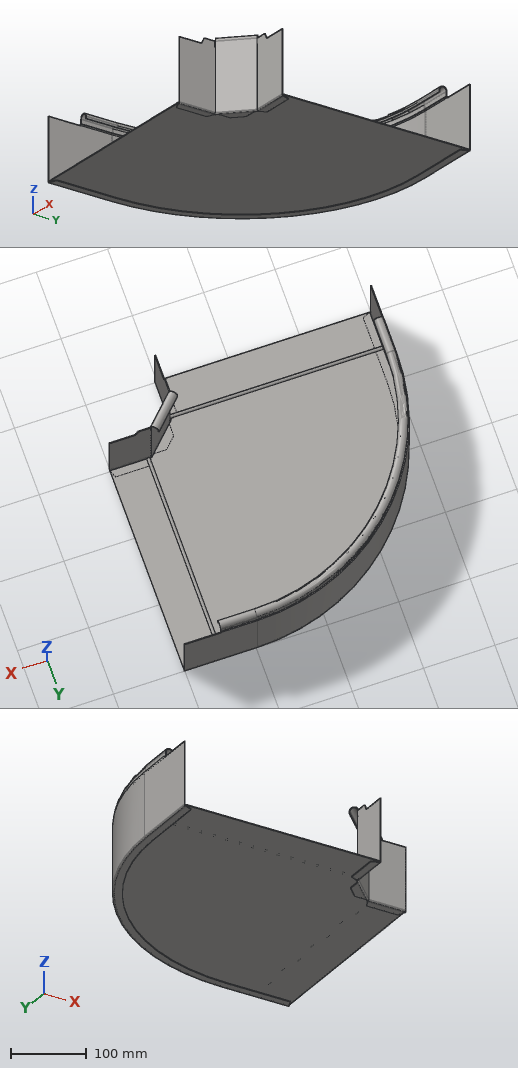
import cadquery as cq
import math


overall_side = 401.5
overall_height = 113.0
arm_length = 102.5
bend_radius = overall_side - arm_length
tray_width = 304.0
inner_arm_length = 57.8

sheet = 1.5
fold_inside_radius = 1.0
fold_radius = fold_inside_radius + sheet
wall_height = 98.0
flange_width = 13.2
diagonal_flange_width = 15.3
flange_end_gap = 4.5

roll_radius = 6.5
roll_centre_height = overall_height - roll_radius
roll_lip = 3.2
roll_end_gap = 51.5
jog_depth = 1.5
jog_height = 2.0

tab_top_gap = 40.5
tab_foot_gap = 36.0

bead_width = 5.0
bead_height = 1.5
bead_edge_step = 1.2

inner_face = tray_width - bend_radius
corner_offset = arm_length - inner_arm_length
diagonal_length = (corner_offset - inner_face) * math.sqrt(2)
half_corner_turn = math.radians(45) / 2
corner_fill = sheet * math.tan(half_corner_turn)

half_turn = math.sqrt(0.5)

roll_length = arm_length - roll_end_gap


def mirrored(body):
    """Reflect a body in the symmetry plane y = -x."""
    return body.mirror((1, 1, 0))


def with_mirrored(body):
    return body.union(mirrored(body))


outer_frame = cq.Plane(origin=(-bend_radius, 0, 0), xDir=(1, 0, 0), normal=(0, -1, 0))
inner_frame = cq.Plane(origin=(inner_face, -corner_offset, 0), xDir=(-1, 0, 0), normal=(0, 1, 0))
diagonal_middle = (inner_face + corner_offset) / 2
diagonal_frame = cq.Plane(
    origin=(diagonal_middle, -diagonal_middle, 0), xDir=(-1, 1, 0), normal=(1, 1, 0)
)


def wall_section(frame):
    """Section of a plain wall with the fold at its foot."""
    outer_mid = fold_radius * (1 - half_turn)
    inner_mid = fold_radius - fold_inside_radius * half_turn
    return (
        cq.Workplane(frame)
        .moveTo(fold_radius, 0)
        .threePointArc((outer_mid, outer_mid), (0, fold_radius))
        .lineTo(0, wall_height)
        .lineTo(sheet, wall_height)
        .lineTo(sheet, fold_radius)
        .threePointArc((inner_mid, inner_mid), (fold_radius, sheet))
        .close()
    )


def roll_section(frame, jog):
    """Section of the rolled edge that continues a wall upward, set inward by the jog if it has one."""
    jog_top = wall_height + jog_height
    roll_middle = jog + roll_radius
    roll_far_side = jog + 2 * roll_radius
    lip_height = roll_centre_height - roll_lip
    outside = cq.Workplane(frame).moveTo(0, wall_height).lineTo(0, jog_top)
    if jog > 0:
        outside = outside.lineTo(jog, jog_top)
    return (
        outside.lineTo(jog, roll_centre_height)
        .threePointArc((roll_middle, overall_height), (roll_far_side, roll_centre_height))
        .lineTo(roll_far_side, lip_height)
        .lineTo(roll_far_side - sheet, lip_height)
        .lineTo(roll_far_side - sheet, roll_centre_height)
        .threePointArc((roll_middle, overall_height - sheet), (jog + sheet, roll_centre_height))
        .lineTo(jog + sheet, jog_top)
        .lineTo(sheet, wall_height)
        .close()
    )


def revolved(section):
    """Turn an outer wall section around the quarter bend."""
    return section.revolve(90, (bend_radius, 0), (bend_radius, -1))


def make_outer_wall():
    arm = wall_section(outer_frame).extrude(arm_length)
    arm_roll = roll_section(outer_frame, jog_depth).extrude(roll_length)
    flange_edge = -bend_radius + flange_width
    arm_flange = (
        cq.Workplane("XY")
        .moveTo(-bend_radius + fold_radius, 0)
        .lineTo(flange_edge, 0)
        .lineTo(flange_edge, -arm_length + flange_end_gap)
        .lineTo(-bend_radius + fold_radius, -arm_length)
        .close()
        .extrude(sheet)
    )
    bend_flange_section = (
        cq.Workplane(outer_frame)
        .moveTo(fold_radius, 0)
        .lineTo(flange_width, 0)
        .lineTo(flange_width, sheet)
        .lineTo(fold_radius, sheet)
        .close()
    )
    bend = revolved(wall_section(outer_frame))
    bend = bend.union(revolved(roll_section(outer_frame, jog_depth)))
    bend = bend.union(revolved(bend_flange_section))
    return bend.union(with_mirrored(arm.union(arm_roll).union(arm_flange)))


def make_inner_arm():
    wall = wall_section(inner_frame).extrude(-inner_arm_length)
    corner = wall_section(inner_frame).extrude(corner_fill)
    tab = (
        cq.Workplane("YZ", origin=(inner_face - sheet, 0, 0))
        .moveTo(-corner_offset, wall_height)
        .lineTo(-arm_length + tab_foot_gap, wall_height)
        .lineTo(-arm_length + tab_top_gap, roll_centre_height)
        .lineTo(-corner_offset, roll_centre_height)
        .close()
        .extrude(sheet)
    )
    flange_start = inner_face - fold_radius
    flange_edge = inner_face - flange_width
    flange = (
        cq.Workplane("XY")
        .moveTo(flange_start, -corner_offset)
        .lineTo(flange_edge, -corner_offset - flange_end_gap)
        .lineTo(flange_edge, -arm_length + flange_end_gap)
        .lineTo(flange_start, -arm_length)
        .close()
        .extrude(sheet)
    )
    return wall.union(corner).union(tab).union(flange)


def make_inner_wall():
    half_length = diagonal_length / 2
    wall = wall_section(diagonal_frame).extrude(half_length + corner_fill, both=True)
    roll = roll_section(diagonal_frame, 0).extrude(half_length, both=True)
    flange_half = half_length - flange_end_gap
    flange_edge_half = flange_half - (diagonal_flange_width - fold_radius)
    flange_plane = cq.Plane(
        origin=(diagonal_middle, -diagonal_middle, 0), xDir=(-1, 1, 0), normal=(0, 0, 1)
    )
    flange = (
        cq.Workplane(flange_plane)
        .moveTo(fold_radius, -flange_half)
        .lineTo(diagonal_flange_width, -flange_edge_half)
        .lineTo(diagonal_flange_width, flange_edge_half)
        .lineTo(fold_radius, flange_half)
        .close()
        .extrude(sheet)
    )
    diagonal = wall.union(roll).union(flange)
    return diagonal.union(with_mirrored(make_inner_arm()))


def make_floor():
    """Floor sheet lying on the flanges, its edges clear of the wall folds."""
    floor_radius = bend_radius - fold_radius
    floor_inner = inner_face - fold_radius
    floor_corner = corner_offset - fold_radius * math.tan(half_corner_turn)
    arc_middle = floor_radius * half_turn
    plate = (
        cq.Workplane("XY", origin=(0, 0, sheet))
        .moveTo(-floor_radius, 0)
        .threePointArc((-arc_middle, arc_middle), (0, floor_radius))
        .lineTo(arm_length, floor_radius)
        .lineTo(arm_length, -floor_inner)
        .lineTo(floor_corner, -floor_inner)
        .lineTo(floor_inner, -floor_corner)
        .lineTo(floor_inner, -arm_length)
        .lineTo(-floor_radius, -arm_length)
        .close()
        .extrude(sheet)
    )
    bead_start = -arm_length + roll_end_gap
    floor_top = 2 * sheet
    bead = (
        cq.Workplane("YZ", origin=(-floor_radius, 0, 0))
        .moveTo(bead_start, floor_top)
        .lineTo(bead_start, floor_top + bead_edge_step)
        .threePointArc(
            (bead_start + bead_width / 2, floor_top + bead_height),
            (bead_start + bead_width, floor_top),
        )
        .close()
        .extrude(floor_radius + floor_inner)
    )
    return plate.union(with_mirrored(bead))


outer_wall = make_outer_wall()
inner_wall = make_inner_wall()
floor = make_floor()

result = cq.Compound.makeCompound([outer_wall.solids().val(), inner_wall.solids().val(), floor.solids().val()])